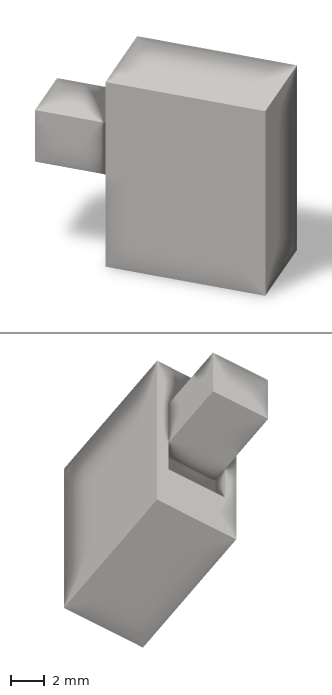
import cadquery as cq

total_length = 14.72
body_width = 5.6
body_height = 12.7

knob_reach = 4.71
knob_width = 3.9
knob_height = 3.55

slot_width = 4.0
slot_height = 6.1
slot_depth = 1.0
knob_top_gap = 0.05

body_length = total_length - knob_reach
slot_top = slot_height / 2
knob_length = knob_reach + slot_depth
knob_center_z = slot_top - knob_top_gap - knob_height / 2


def block_along_x(start_x, length, width, height, center_z=0):
    """Box centred in Y that runs toward +X from start_x."""
    return (
        cq.Workplane("XY")
        .box(length, width, height, centered=(False, True, True))
        .translate((start_x, 0, center_z))
    )


body = block_along_x(0, body_length, body_width, body_height)
slot = block_along_x(0, slot_depth, slot_width, slot_height)

knob = block_along_x(-knob_reach, knob_length, knob_width, knob_height, knob_center_z)

result = body.cut(slot).union(knob)